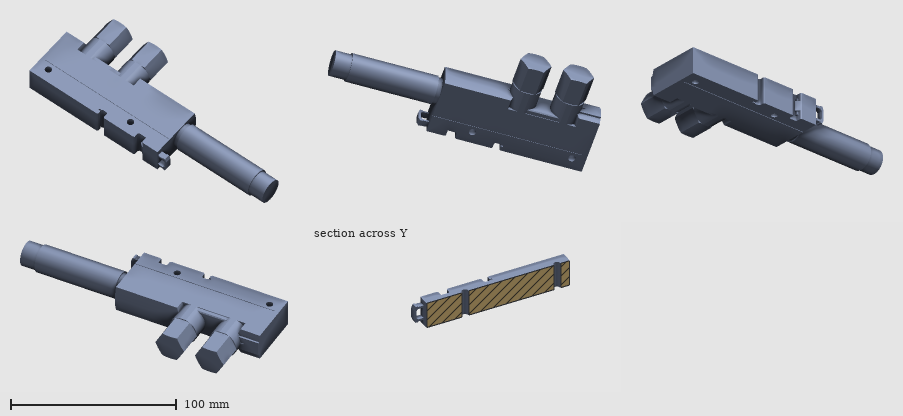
import cadquery as cq
import math

thickness = 18.0
half_thickness = thickness / 2
body_length = 98.2
overall_length = 165.9
overall_depth = 62.0

crown_edge_y = 36.5
crown_apex_y = 37.9
raised_end_y = 38.7
raised_end_length = 14.0
raised_end_width = 9.4

rib_width = 1.0
left_rib_x = 10.0
left_rib_y = 39.2
right_rib_end_x = 58.8
right_rib_y = 38.3
rib_length = 3.0

end_cap_length = 3.1
groove_y = 11.9
groove_width = 0.5
groove_depth = 0.3

hole_diameter = 4.4
hole_y = 7.6
first_hole_x = 8.6
hole_spacing = 63.0

first_fitting_x = 21.35
fitting_spacing = 27.0
fitting_centers = [first_fitting_x, first_fitting_x + fitting_spacing]
fitting_middle_x = sum(fitting_centers) / 2
collar_diameter = 18.4
nut_across_flats = 17.0
nut_bottom_y = 44.4
nut_chamfer_height = 0.5
nut_end_diameter = 16.8

recess_floor_y = 30.1
recess_half_width = 21.6
recess_waist_half_width = 18.0
bar_length = 19.6
bar_top_y = 33.1
bar_thickness = 17.2
bar_corner = 0.6

slot_roof_y = 4.3
slot_left_x = [52.3, 80.35]
slot_lip_chamfer_x = 0.85
slot_lip_chamfer_y = 0.5
slot_roof_corner = 0.85
hook_slot_right_x = 56.7
hook_slot_roof_lean = 0.8
hook_slot_chamfer = 0.7
hook_depth = 1.6
hook_bottom_y = 2.9
hook_top_y = 3.8
latch_slot_right_x = 86.2

latch_tip_x = 83.5
latch_tip_bottom_y = 2.6
latch_top_y = 3.4
latch_width = 6.7
latch_slide_x = 85.1
latch_slide_bottom_y = 2.3
latch_slide_width = 11.0

loop_bottom_y = 0.4
loop_tip_x = 104.7
loop_half_width = 5.25
loop_flare = 0.5
loop_flare_x = 102.2
loop_corner_x = 103.7
loop_tip_half_width = 3.3
loop_wall = 1.5
loop_notch_x = 99.2
loop_notch_top_y = 0.7
loop_inner_chamfer = 1.2

silencer_y = 24.25
neck_diameter = 16.0
silencer_diameter = 17.8
silencer_start_x = 101.0
tip_start_x = 155.5

overlap = 1.0


def box(x0, x1, y0, y1, width):
    """Box between two X and two Y positions, centred on Z = 0."""
    return cq.Workplane("XY").box(x1 - x0, y1 - y0, width).translate(
        ((x0 + x1) / 2, (y0 + y1) / 2, 0)
    )


def prism(points, width):
    """XY outline extruded symmetrically about Z = 0."""
    return cq.Workplane("XY").polyline(points).close().extrude(width / 2, both=True)


def cylinder_along_x(x0, x1, diameter):
    plane = cq.Plane(origin=(x0, silencer_y, 0), xDir=(0, 1, 0), normal=(1, 0, 0))
    return cq.Workplane(plane).circle(diameter / 2).extrude(x1 - x0)


def make_body():
    section = (
        cq.Workplane("YZ")
        .moveTo(0, -half_thickness)
        .lineTo(crown_edge_y, -half_thickness)
        .threePointArc((crown_apex_y, 0), (crown_edge_y, half_thickness))
        .lineTo(0, half_thickness)
        .close()
    )
    body = section.extrude(body_length)
    raised_end = box(0, raised_end_length, recess_floor_y, raised_end_y, raised_end_width)
    left_rib = box(left_rib_x, left_rib_x + rib_length, recess_floor_y, left_rib_y, rib_width)
    right_rib = box(
        right_rib_end_x - rib_length, right_rib_end_x, recess_floor_y, right_rib_y, rib_width
    )
    return body.union(raised_end).union(left_rib).union(right_rib)


def make_recess():
    """Opening through the thickness, its end walls narrowing toward mid-thickness."""
    plane = cq.Plane(
        origin=(fitting_middle_x, recess_floor_y, 0), xDir=(1, 0, 0), normal=(0, 1, 0)
    )
    return (
        cq.Workplane(plane)
        .polyline([
            (-recess_half_width, -half_thickness),
            (recess_half_width, -half_thickness),
            (recess_waist_half_width, 0),
            (recess_half_width, half_thickness),
            (-recess_half_width, half_thickness),
            (-recess_waist_half_width, 0),
        ])
        .close()
        .extrude(overall_depth - recess_floor_y)
    )


def make_bar():
    bar = box(
        fitting_middle_x - bar_length / 2,
        fitting_middle_x + bar_length / 2,
        recess_floor_y - overlap,
        bar_top_y,
        bar_thickness,
    )
    return bar.faces(">Y").edges().chamfer(bar_corner)


def make_fitting(center_x):
    """Round collar trimmed flush with the body, topped by a hexagon nut."""
    plane = cq.Plane(
        origin=(center_x, recess_floor_y - overlap, 0), xDir=(1, 0, 0), normal=(0, 1, 0)
    )
    collar = cq.Workplane(plane).circle(collar_diameter / 2).extrude(
        nut_bottom_y - recess_floor_y + overlap
    )
    collar = collar.intersect(
        box(
            center_x - collar_diameter,
            center_x + collar_diameter,
            0,
            overall_depth,
            thickness,
        )
    )
    corner_diameter = nut_across_flats / math.cos(math.pi / 6)
    nut_plane = cq.Plane(origin=(center_x, nut_bottom_y, 0), xDir=(1, 0, 0), normal=(0, 1, 0))
    nut_height = overall_depth - nut_bottom_y
    nut = cq.Workplane(nut_plane).polygon(6, corner_diameter).extrude(nut_height)
    corner_trim = (
        cq.Workplane("XY")
        .polyline([
            (0, nut_bottom_y),
            (nut_end_diameter / 2, nut_bottom_y),
            (corner_diameter / 2, nut_bottom_y + nut_chamfer_height),
            (corner_diameter / 2, overall_depth - nut_chamfer_height),
            (nut_end_diameter / 2, overall_depth),
            (0, overall_depth),
        ])
        .close()
        .revolve(360, (0, 0, 0), (0, 1, 0))
        .translate((center_x, 0, 0))
    )
    return collar.union(nut.intersect(corner_trim))


def slot_left_side(left_x):
    """Left wall of a rail slot, from the mounting face up to the roof."""
    return [
        (left_x - slot_lip_chamfer_x, 0),
        (left_x, slot_lip_chamfer_y),
        (left_x, slot_roof_y - slot_roof_corner),
        (left_x + slot_roof_corner, slot_roof_y),
    ]


def make_slots():
    hook_slot = prism(
        slot_left_side(slot_left_x[0])
        + [
            (hook_slot_right_x - hook_slot_roof_lean, slot_roof_y),
            (hook_slot_right_x, slot_roof_y - hook_slot_roof_lean),
            (hook_slot_right_x, hook_slot_chamfer),
            (hook_slot_right_x + hook_slot_chamfer, 0),
        ],
        thickness,
    )
    undercut = box(
        slot_left_x[0] - hook_depth, slot_left_x[0] + slot_roof_corner / 2,
        hook_bottom_y, hook_top_y, thickness,
    )
    latch_slot = prism(
        slot_left_side(slot_left_x[1])
        + [
            (latch_slot_right_x, slot_roof_y),
            (latch_slot_right_x, slot_lip_chamfer_y),
            (latch_slot_right_x + slot_lip_chamfer_x, 0),
        ],
        thickness,
    )
    return hook_slot.union(undercut).union(latch_slot)


def make_latch():
    inner_x = latch_slot_right_x + overlap
    tongue = prism(
        [
            (latch_tip_x, latch_top_y),
            (latch_tip_x, latch_tip_bottom_y),
            (latch_slot_right_x, slot_lip_chamfer_y),
            (inner_x, slot_lip_chamfer_y),
            (inner_x, latch_top_y),
        ],
        latch_width,
    )
    slide = box(latch_slide_x, inner_x, latch_slide_bottom_y, slot_roof_y, latch_slide_width)
    return tongue.union(slide)


def make_loop():
    """U-shaped finger loop with flared, cut-off corners."""
    start_x = body_length - overlap
    flare_half_width = loop_half_width + loop_flare
    inner_half_width = loop_half_width - loop_wall
    inner_tip_x = loop_tip_x - loop_wall
    plane = cq.Plane(origin=(0, loop_bottom_y, 0), xDir=(1, 0, 0), normal=(0, -1, 0))
    height = slot_roof_y - loop_bottom_y
    outer = (
        cq.Workplane(plane)
        .polyline([
            (start_x, -loop_half_width),
            (loop_flare_x, -loop_half_width),
            (loop_flare_x, -flare_half_width),
            (loop_corner_x, -flare_half_width),
            (loop_tip_x, -loop_tip_half_width),
            (loop_tip_x, loop_tip_half_width),
            (loop_corner_x, flare_half_width),
            (loop_flare_x, flare_half_width),
            (loop_flare_x, loop_half_width),
            (start_x, loop_half_width),
        ])
        .close()
        .extrude(-height)
    )
    opening = box(
        body_length, inner_tip_x, loop_bottom_y, slot_roof_y, 2 * inner_half_width
    ).edges("|Y and >X").chamfer(loop_inner_chamfer)
    arm_notch = box(
        body_length, loop_notch_x, loop_bottom_y, loop_notch_top_y, 2 * loop_half_width
    )
    return outer.cut(opening).cut(arm_notch)


def make_silencer():
    neck = cylinder_along_x(body_length - overlap, silencer_start_x, neck_diameter)
    sleeve = cylinder_along_x(silencer_start_x, tip_start_x, silencer_diameter)
    tip = cylinder_along_x(tip_start_x, overall_length, neck_diameter)
    return neck.union(sleeve).union(tip)


def make_seam_groove():
    seam = box(
        end_cap_length, body_length,
        groove_y - groove_width / 2, groove_y + groove_width / 2, thickness,
    )
    core = box(0, body_length, 0, crown_edge_y, thickness - 2 * groove_depth)
    return seam.cut(core)


def make_mounting_holes():
    return (
        cq.Workplane("XY")
        .pushPoints([(first_hole_x, hole_y), (first_hole_x + hole_spacing, hole_y)])
        .circle(hole_diameter / 2)
        .extrude(half_thickness, both=True)
    )


result = make_body().cut(make_recess()).union(make_bar())
for fitting_x in fitting_centers:
    result = result.union(make_fitting(fitting_x))
result = result.cut(make_slots()).cut(make_mounting_holes()).cut(make_seam_groove())
result = result.union(make_latch()).union(make_loop()).union(make_silencer())